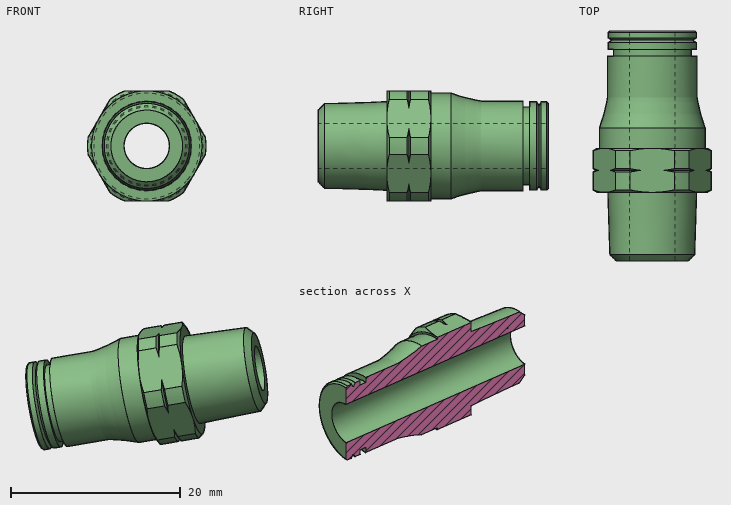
import math

import cadquery as cq

TOTAL_LENGTH = 27.15
BORE_RADIUS = 2.66

GAUGE_LENGTH = 4.1
GAUGE_RADIUS = 5.121
RADIUS_TAPER = 1 / 32
TIP_RADIUS = 4.23
TIP_CHAMFER_LENGTH = 0.77

HEX_FRONT_Y = 8.1
HEX_LENGTH = 5.2
HEX_ACROSS_FLATS = 13.0
HEX_CORNER_RADIUS = 7.0
HEX_BEVEL_ANGLE = 30.0
HEX_GROOVE_DEPTH = 0.35

COLLAR_RADIUS = 6.25
COLLAR_BEVEL_RADIUS = 6.2
COLLAR_START = 11.48
COLLAR_BEVEL_START = 11.33
FLARE_MIDDLE_START = 9.83
FLARE_MIDDLE_RADIUS = 5.72
FLARE_FRONT_START = 8.45
FLARE_FRONT_RADIUS = 5.4
BODY_END = 7.9
BODY_RADIUS = 5.3
BODY_START = 2.97

NECK_RADIUS = 4.6
NECK_START = 2.2
FLANGE_RADIUS = 5.22
INNER_FLANGE_START = 1.38
SLEEVE_GROOVE_RADIUS = 4.75
SLEEVE_GROOVE_POSITION = 1.1
OUTER_FLANGE_END = 0.85
RIM_CHAMFER = 0.2

HEX_BACK_Y = HEX_FRONT_Y + HEX_LENGTH
HEX_MIDDLE_Y = HEX_FRONT_Y + HEX_LENGTH / 2


def thread_radius(y):
    """Radius of the tapered thread blank at distance y from the tip."""
    return GAUGE_RADIUS + (y - GAUGE_LENGTH) * RADIUS_TAPER


def from_tube_end(distance):
    """Y position at a distance measured back from the tube end."""
    return TOTAL_LENGTH - distance


def revolve_profile(profile):
    """Turn a closed half profile (radius, y) about the Y axis."""
    return profile.close().revolve(360, (0, 0, 0), (0, 1, 0))


def thread_blank():
    return revolve_profile(
        cq.Workplane("XY")
        .moveTo(0, 0)
        .lineTo(TIP_RADIUS, 0)
        .lineTo(thread_radius(TIP_CHAMFER_LENGTH), TIP_CHAMFER_LENGTH)
        .lineTo(thread_radius(HEX_FRONT_Y), HEX_FRONT_Y)
        .lineTo(0, HEX_FRONT_Y)
    )


def hex_section():
    """Hexagon with flats facing +Z and -Z, trimmed by a turned, grooved envelope."""
    across_corners = HEX_ACROSS_FLATS / math.cos(math.pi / 6)
    prism = (
        cq.Workplane("XZ", origin=(0, HEX_BACK_Y, 0))
        .polygon(6, across_corners)
        .extrude(HEX_LENGTH)
    )
    face_radius = HEX_ACROSS_FLATS / 2
    slope = math.tan(math.radians(HEX_BEVEL_ANGLE))
    bevel_length = (HEX_CORNER_RADIUS - face_radius) * slope
    groove_half_width = HEX_GROOVE_DEPTH * slope
    envelope = revolve_profile(
        cq.Workplane("XY")
        .moveTo(0, HEX_FRONT_Y)
        .lineTo(face_radius, HEX_FRONT_Y)
        .lineTo(HEX_CORNER_RADIUS, HEX_FRONT_Y + bevel_length)
        .lineTo(HEX_CORNER_RADIUS, HEX_MIDDLE_Y - groove_half_width)
        .lineTo(HEX_CORNER_RADIUS - HEX_GROOVE_DEPTH, HEX_MIDDLE_Y)
        .lineTo(HEX_CORNER_RADIUS, HEX_MIDDLE_Y + groove_half_width)
        .lineTo(HEX_CORNER_RADIUS, HEX_BACK_Y - bevel_length)
        .lineTo(face_radius, HEX_BACK_Y)
        .lineTo(0, HEX_BACK_Y)
    )
    return prism.intersect(envelope)


def body():
    """Collar flaring down to the cylindrical tube socket."""
    return revolve_profile(
        cq.Workplane("XY")
        .moveTo(0, HEX_BACK_Y)
        .lineTo(COLLAR_RADIUS, HEX_BACK_Y)
        .lineTo(COLLAR_RADIUS, from_tube_end(COLLAR_START))
        .lineTo(COLLAR_BEVEL_RADIUS, from_tube_end(COLLAR_BEVEL_START))
        .lineTo(FLARE_MIDDLE_RADIUS, from_tube_end(FLARE_MIDDLE_START))
        .lineTo(FLARE_FRONT_RADIUS, from_tube_end(FLARE_FRONT_START))
        .lineTo(BODY_RADIUS, from_tube_end(BODY_END))
        .lineTo(BODY_RADIUS, from_tube_end(BODY_START))
        .lineTo(0, from_tube_end(BODY_START))
    )


def release_sleeve():
    return revolve_profile(
        cq.Workplane("XY")
        .moveTo(0, from_tube_end(BODY_START))
        .lineTo(NECK_RADIUS, from_tube_end(BODY_START))
        .lineTo(NECK_RADIUS, from_tube_end(NECK_START))
        .lineTo(FLANGE_RADIUS, from_tube_end(NECK_START))
        .lineTo(FLANGE_RADIUS, from_tube_end(INNER_FLANGE_START))
        .lineTo(SLEEVE_GROOVE_RADIUS, from_tube_end(SLEEVE_GROOVE_POSITION))
        .lineTo(FLANGE_RADIUS, from_tube_end(OUTER_FLANGE_END))
        .lineTo(FLANGE_RADIUS, from_tube_end(RIM_CHAMFER))
        .lineTo(FLANGE_RADIUS - RIM_CHAMFER, TOTAL_LENGTH)
        .lineTo(0, TOTAL_LENGTH)
    )


def through_bore():
    return cq.Workplane("XZ", origin=(0, TOTAL_LENGTH, 0)).circle(BORE_RADIUS).extrude(TOTAL_LENGTH)


result = (
    thread_blank()
    .union(hex_section())
    .union(body())
    .union(release_sleeve())
    .cut(through_bore())
)